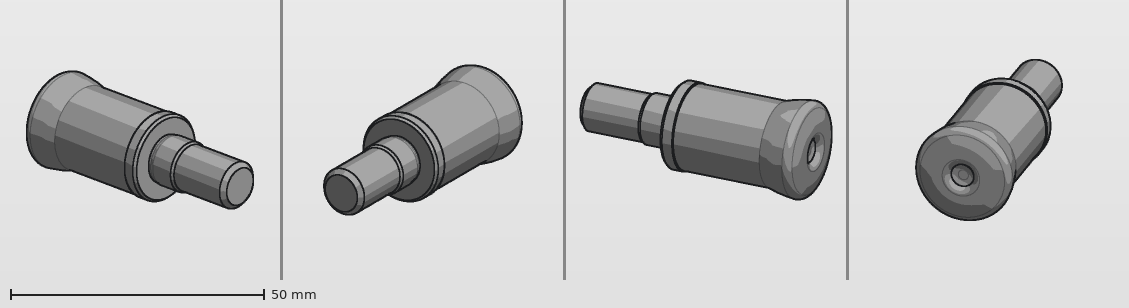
import cadquery as cq

TOTAL_LENGTH = 50.0

RIM_RADIUS = 3.9
DIMPLE_RADIUS = 2.35
DIMPLE_RIM_DEPTH = 1.2
DIMPLE_FLOOR_RADIUS = 1.05
DIMPLE_DEPTH = 1.55
DOME_EDGE_RADIUS = 8.8
DOME_EDGE_X = 0.85
NOSE_MID_RADIUS = 9.6
NOSE_MID_X = 1.3
HEAD_RADIUS = 9.95
HEAD_X = 2.55
FLARE_MID_RADIUS = 9.6
FLARE_MID_X = 5.0
FLARE_END_X = 8.1
GRIP_RADIUS = 17.6 / 2

COLLAR_X = 27.0
COLLAR_LENGTH = 3.0
COLLAR_RADIUS = 18.0 / 2
COLLAR_FRONT_CHAMFER = COLLAR_RADIUS - GRIP_RADIUS
COLLAR_BACK_CHAMFER_LENGTH = 0.6
COLLAR_BACK_CHAMFER_HEIGHT = 0.5
NECK_RADIUS = 5.05
NECK_LENGTH = 0.5
NECK_TAPER_LENGTH = 0.75
SHOULDER_RADIUS = 10.5 / 2
SHOULDER_END_X = 36.1
SHOULDER_TAPER_LENGTH = 0.6
SHANK_RADIUS = 9.75 / 2
SHANK_CHAMFER = 1.0


def revolve_about_x(profile):
    return profile.close().revolve(360, (0, 0, 0), (1, 0, 0))


def make_knob():
    profile = (
        cq.Workplane("XY")
        .moveTo(COLLAR_X, 0)
        .lineTo(COLLAR_X, GRIP_RADIUS)
        .lineTo(FLARE_END_X, GRIP_RADIUS)
        .threePointArc((FLARE_MID_X, FLARE_MID_RADIUS), (HEAD_X, HEAD_RADIUS))
        .threePointArc((NOSE_MID_X, NOSE_MID_RADIUS), (DOME_EDGE_X, DOME_EDGE_RADIUS))
    )
    dome_height = DOME_EDGE_RADIUS - RIM_RADIUS
    dome_arc_radius = (dome_height**2 + DOME_EDGE_X**2) / (2 * DOME_EDGE_X)
    dome_mid_radius = RIM_RADIUS + dome_height / 2
    dome_mid_x = dome_arc_radius - (dome_arc_radius**2 - (dome_height / 2) ** 2) ** 0.5
    profile = (
        profile.threePointArc((dome_mid_x, dome_mid_radius), (0, RIM_RADIUS))
        .tangentArcPoint((DIMPLE_RIM_DEPTH, DIMPLE_RADIUS), relative=False)
    )
    dish_width = DIMPLE_RADIUS - DIMPLE_FLOOR_RADIUS
    dish_rise = DIMPLE_DEPTH - DIMPLE_RIM_DEPTH
    dish_arc_radius = (dish_width**2 + dish_rise**2) / (2 * dish_rise)
    dish_mid_radius = DIMPLE_FLOOR_RADIUS + dish_width / 2
    dish_mid_drop = dish_arc_radius - (dish_arc_radius**2 - (dish_width / 2) ** 2) ** 0.5
    profile = (
        profile.threePointArc(
            (DIMPLE_DEPTH - dish_mid_drop, dish_mid_radius),
            (DIMPLE_DEPTH, DIMPLE_FLOOR_RADIUS),
        )
        .lineTo(DIMPLE_DEPTH, 0)
    )
    return revolve_about_x(profile)


def make_stem():
    collar_end_x = COLLAR_X + COLLAR_LENGTH
    neck_end_x = collar_end_x + NECK_LENGTH
    profile = (
        cq.Workplane("XY")
        .moveTo(COLLAR_X, 0)
        .lineTo(COLLAR_X, COLLAR_RADIUS - COLLAR_FRONT_CHAMFER)
        .lineTo(COLLAR_X + COLLAR_FRONT_CHAMFER, COLLAR_RADIUS)
        .lineTo(collar_end_x - COLLAR_BACK_CHAMFER_LENGTH, COLLAR_RADIUS)
        .lineTo(collar_end_x, COLLAR_RADIUS - COLLAR_BACK_CHAMFER_HEIGHT)
        .lineTo(collar_end_x, NECK_RADIUS)
        .lineTo(neck_end_x, NECK_RADIUS)
        .lineTo(neck_end_x + NECK_TAPER_LENGTH, SHOULDER_RADIUS)
        .lineTo(SHOULDER_END_X, SHOULDER_RADIUS)
        .lineTo(SHOULDER_END_X + SHOULDER_TAPER_LENGTH, SHANK_RADIUS)
        .lineTo(TOTAL_LENGTH - SHANK_CHAMFER, SHANK_RADIUS)
        .lineTo(TOTAL_LENGTH, SHANK_RADIUS - SHANK_CHAMFER)
        .lineTo(TOTAL_LENGTH, 0)
    )
    return revolve_about_x(profile)


knob = make_knob()
stem = make_stem()

result = cq.Compound.makeCompound([knob.val(), stem.val()])